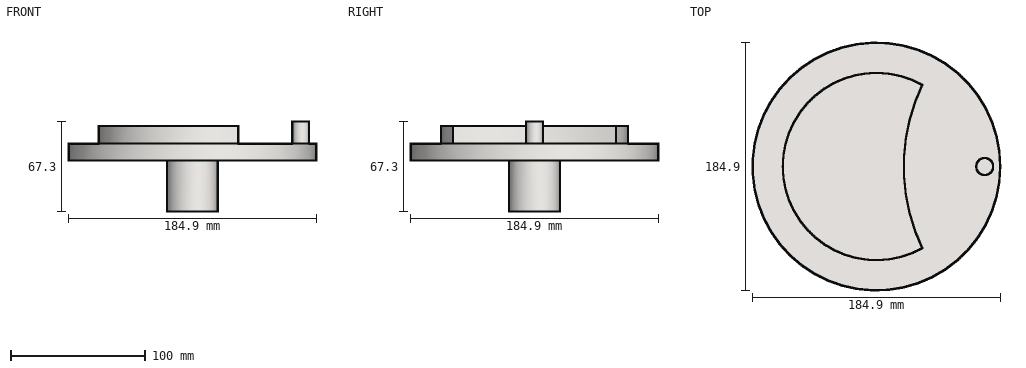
import cadquery as cq
import math

disc_diameter = 184.93
disc_thickness = 12.7

shaft_diameter = 38.1
shaft_length = 38.1

pin_diameter = 12.7
pin_height = 16.51
pin_orbit_radius = 80.8

lock_radius = 69.85
lock_height = 13.2
bite_center_x = 2 * pin_orbit_radius
bite_radius = 141.2


def make_disc():
    """Crank disc, with its underside on Z = 0."""
    return cq.Workplane("XY").circle(disc_diameter / 2).extrude(disc_thickness)


def make_shaft():
    """Shaft hanging from the middle of the underside."""
    return cq.Workplane("XY").circle(shaft_diameter / 2).extrude(-shaft_length)


def make_pin():
    """Drive pin standing on the disc near its +X edge."""
    top_face = cq.Workplane("XY", origin=(pin_orbit_radius, 0, disc_thickness))
    return top_face.circle(pin_diameter / 2).extrude(pin_height)


def make_lock():
    """Locking segment bounded by its own circle and the concave bite arc."""
    corner_x = (lock_radius**2 - bite_radius**2 + bite_center_x**2) / (2 * bite_center_x)
    corner_y = math.sqrt(lock_radius**2 - corner_x**2)
    bite_middle_x = bite_center_x - bite_radius
    return (
        cq.Workplane("XY", origin=(0, 0, disc_thickness))
        .moveTo(corner_x, corner_y)
        .threePointArc((-lock_radius, 0), (corner_x, -corner_y))
        .threePointArc((bite_middle_x, 0), (corner_x, corner_y))
        .close()
        .extrude(lock_height)
    )


result = make_disc().union(make_shaft()).union(make_lock()).union(make_pin())